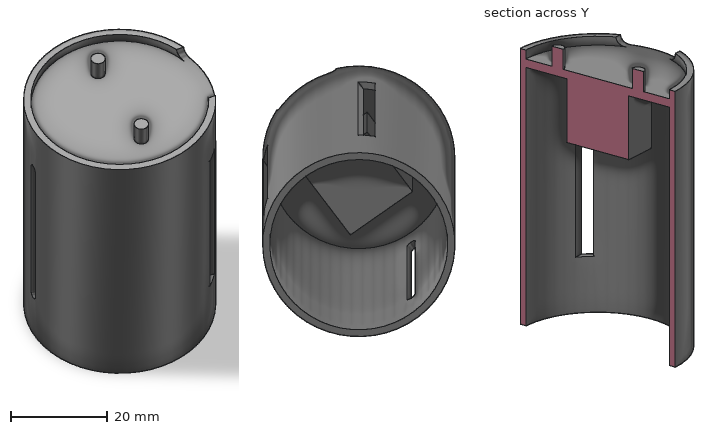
import cadquery as cq

body_diameter = 40.0
body_height = 62.0
wall = 1.5
inner_diameter = body_diameter - 2 * wall
body_radius = body_diameter / 2

rim_height = 2.0
lid_thickness = 2.0
lid_top = body_height - rim_height

pin_diameter = 3.0
pin_spacing = 20.7
pin_top = 64.5

block_side = 16.0
block_bottom = 43.7

front_slot_width = 2.0
front_slot_length = 40.0
front_slot_center = 31.0

rear_slot_width = 2.7
rear_slot_length = 38.0
rear_slot_center = 31.6
rear_slot_offset = 13.0

notch_width = 15.3
notch_corner_radius = rim_height


def make_shell():
    """Tube closed by the recessed lid."""
    tube = cq.Workplane("XY").circle(body_radius).circle(inner_diameter / 2).extrude(body_height)
    lid_bottom = lid_top - lid_thickness
    lid = cq.Workplane("XY").workplane(offset=lid_bottom).circle(body_radius).extrude(lid_thickness)
    return tube.union(lid)


def make_pins():
    """Two contact pins rising from the lid."""
    return (
        cq.Workplane("XY")
        .workplane(offset=lid_top)
        .pushPoints([(-pin_spacing / 2, 0), (pin_spacing / 2, 0)])
        .circle(pin_diameter / 2)
        .extrude(pin_top - lid_top)
    )


def make_block():
    """Flat-sided block joined to the underside of the lid."""
    return (
        cq.Workplane("XY")
        .workplane(offset=block_bottom)
        .rect(block_side, block_side)
        .extrude(lid_top - block_bottom)
    )


def front_slot_cutter():
    """Upright round-ended slot through the -Y wall, stopping short of the hanging block."""
    upright = 90
    cut_depth = 2 * wall
    return (
        cq.Workplane("XZ", origin=(0, -body_radius, front_slot_center))
        .slot2D(front_slot_length, front_slot_width, upright)
        .extrude(-cut_depth)
    )


def rear_slot_cutters():
    """Two square-ended slots, from the axis plane out through the +Y wall."""
    return (
        cq.Workplane("XZ")
        .center(0, rear_slot_center)
        .pushPoints([(-rear_slot_offset, 0), (rear_slot_offset, 0)])
        .rect(rear_slot_width, rear_slot_length)
        .extrude(-body_radius)
    )


def notch_cutter():
    """Rim notch reaching down to the lid, half of a round-ended slot centred on the rim edge."""
    return (
        cq.Workplane("XZ")
        .center(0, body_height)
        .slot2D(notch_width, 2 * notch_corner_radius)
        .extrude(-body_radius)
    )


housing = make_shell().union(make_block())
housing = housing.cut(front_slot_cutter()).cut(rear_slot_cutters())
result = housing.cut(notch_cutter()).union(make_pins())